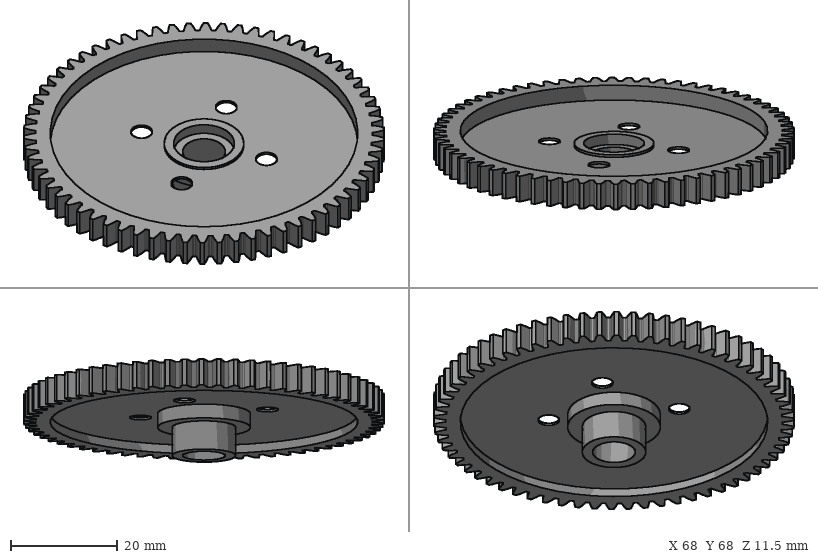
import cadquery as cq
import math

TOOTH_COUNT = 66
OUTER_DIAMETER = 68.0
PRESSURE_ANGLE = math.radians(20)
DEDENDUM_FACTOR = 1.25
FLANK_STEPS = 3

MODULE = OUTER_DIAMETER / (TOOTH_COUNT + 2)
PITCH_ANGLE = 2 * math.pi / TOOTH_COUNT

TIP_RADIUS = OUTER_DIAMETER / 2
PITCH_RADIUS = MODULE * TOOTH_COUNT / 2
BASE_RADIUS = PITCH_RADIUS * math.cos(PRESSURE_ANGLE)
ROOT_RADIUS = PITCH_RADIUS - DEDENDUM_FACTOR * MODULE
ROOT_FILLET_RADIUS = 0.3

TOTAL_HEIGHT = 11.5
RIM_HEIGHT = 5.0
POCKET_DEPTH = 2.9
WEB_THICKNESS = 0.5
FLANGE_DROP = 1.0
COLLAR_HEIGHT = 0.5
COUNTERBORE_DEPTH = 2.05
WEB_TOP = RIM_HEIGHT - POCKET_DEPTH
WEB_BOTTOM = WEB_TOP - WEB_THICKNESS
COLLAR_TOP = WEB_TOP + COLLAR_HEIGHT
HUB_BOTTOM = RIM_HEIGHT - TOTAL_HEIGHT

POCKET_DIAMETER = 58.0
FLANGE_DIAMETER = 17.5
COLLAR_DIAMETER = 15.0
HUB_DIAMETER = 12.0
COUNTERBORE_DIAMETER = 11.4
BORE_DIAMETER = 8.0

WEB_HOLE_COUNT = 4
WEB_HOLE_DIAMETER = 4.0
WEB_HOLE_CIRCLE_RADIUS = 12.5


def polar(radius, angle):
    return (radius * math.cos(angle), radius * math.sin(angle))


def involute(pressure_angle):
    return math.tan(pressure_angle) - pressure_angle


def half_tooth_angle(radius):
    """Angle from the tooth centreline to its involute flank at a radius."""
    half_angle_at_pitch = PITCH_ANGLE / 4
    return half_angle_at_pitch + involute(PRESSURE_ANGLE) - involute(math.acos(BASE_RADIUS / radius))


def disc(diameter, bottom, top):
    return cq.Workplane("XY").workplane(offset=bottom).circle(diameter / 2).extrude(top - bottom)


def gear_blank():
    """Toothed disc with one tooth centred on the +X axis and filleted tooth roots."""
    fillet_centre_radius = ROOT_RADIUS + ROOT_FILLET_RADIUS
    root_angle = half_tooth_angle(fillet_centre_radius) + ROOT_FILLET_RADIUS / BASE_RADIUS

    normal_length = math.sqrt(fillet_centre_radius**2 - BASE_RADIUS**2) - ROOT_FILLET_RADIUS
    flank_start_radius = math.hypot(BASE_RADIUS, normal_length)
    flank_start_angle = half_tooth_angle(flank_start_radius)
    step = (TIP_RADIUS - flank_start_radius) / FLANK_STEPS
    flank_radii = [flank_start_radius + i * step for i in range(FLANK_STEPS + 1)]

    outline = cq.Workplane("XY").moveTo(*polar(flank_start_radius, -flank_start_angle))
    for tooth in range(TOOTH_COUNT):
        centre = tooth * PITCH_ANGLE
        next_centre = centre + PITCH_ANGLE
        rising = [polar(r, centre - half_tooth_angle(r)) for r in flank_radii]
        falling = [polar(r, centre + half_tooth_angle(r)) for r in reversed(flank_radii)]
        root_start = polar(ROOT_RADIUS, centre + root_angle)
        root_middle = polar(ROOT_RADIUS, centre + PITCH_ANGLE / 2)
        root_end = polar(ROOT_RADIUS, next_centre - root_angle)
        next_flank = polar(flank_start_radius, next_centre - flank_start_angle)
        outline = (
            outline.spline(rising[1:], includeCurrent=True)
            .threePointArc(polar(TIP_RADIUS, centre), falling[0])
            .spline(falling[1:], includeCurrent=True)
            .tangentArcPoint(root_start, relative=False)
            .threePointArc(root_middle, root_end)
            .tangentArcPoint(next_flank, relative=False)
        )
    return outline.close().extrude(RIM_HEIGHT)


body = gear_blank()
body = body.cut(disc(POCKET_DIAMETER, WEB_TOP, RIM_HEIGHT))
body = body.cut(disc(POCKET_DIAMETER, 0, WEB_BOTTOM))

body = body.union(disc(COLLAR_DIAMETER, WEB_BOTTOM, COLLAR_TOP))
body = body.union(disc(FLANGE_DIAMETER, -FLANGE_DROP, WEB_TOP))
body = body.union(disc(HUB_DIAMETER, HUB_BOTTOM, WEB_TOP))

body = body.cut(disc(COUNTERBORE_DIAMETER, COLLAR_TOP - COUNTERBORE_DEPTH, COLLAR_TOP))
body = body.cut(disc(BORE_DIAMETER, HUB_BOTTOM, COLLAR_TOP))

web_holes = (
    cq.Workplane("XY")
    .workplane(offset=WEB_BOTTOM)
    .polarArray(WEB_HOLE_CIRCLE_RADIUS, 0, 360, WEB_HOLE_COUNT)
    .circle(WEB_HOLE_DIAMETER / 2)
    .extrude(WEB_THICKNESS)
)
result = body.cut(web_holes)